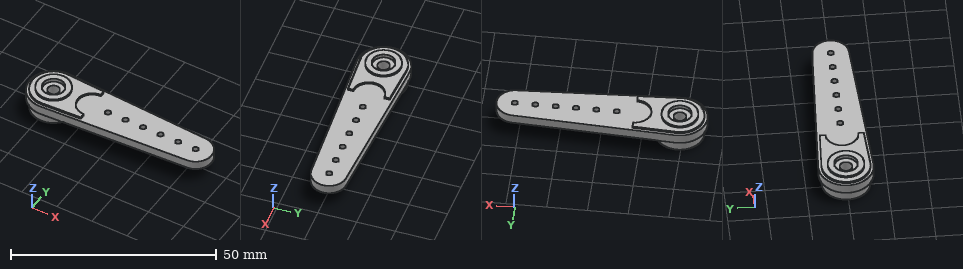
import cadquery as cq
import math

hub_end_radius = 6.75
tip_end_radius = 4.5
tip_distance = 40.5
plate_thickness = 2.5

hub_diameter = 12.0
hub_height = 3.0

pad_inset = 0.75
pad_end_x = 11.0
pad_thickness = 0.5
scallop_radius = 4.0

ring_diameter = 9.0
ring_height = 0.5
counterbore_diameter = 5.8
counterbore_depth = 1.0
screw_hole_diameter = 3.1

link_hole_diameter = 1.5
link_hole_pitch = 5.0
link_hole_count = 6

plate_top = plate_thickness
pad_top = plate_top + pad_thickness
ring_top = pad_top + ring_height


def disc(diameter, bottom, top, x=0.0):
    """Vertical cylinder on the arm centreline between two levels."""
    return cq.Workplane("XY", origin=(x, 0, bottom)).circle(diameter / 2).extrude(top - bottom)


def arm_profile(inset, bottom, top):
    """Tapered outline with round ends, moved inward by the inset."""
    hub_radius = hub_end_radius - inset
    tip_radius = tip_end_radius - inset
    tangent_angle = math.acos((hub_radius - tip_radius) / tip_distance)
    cos_a = math.cos(tangent_angle)
    sin_a = math.sin(tangent_angle)
    hub_tangent = (hub_radius * cos_a, hub_radius * sin_a)
    tip_tangent = (tip_distance + tip_radius * cos_a, tip_radius * sin_a)
    return (
        cq.Workplane("XY", origin=(0, 0, bottom))
        .moveTo(hub_tangent[0], hub_tangent[1])
        .lineTo(tip_tangent[0], tip_tangent[1])
        .threePointArc((tip_distance + tip_radius, 0), (tip_tangent[0], -tip_tangent[1]))
        .lineTo(hub_tangent[0], -hub_tangent[1])
        .threePointArc((-hub_radius, 0), hub_tangent)
        .close()
        .extrude(top - bottom)
    )


def raised_pad():
    """Inset pad around the hub, cut square at its end with a round scallop."""
    keep_region = (
        cq.Workplane("XY", origin=(0, 0, plate_top))
        .rect(2 * pad_end_x, 2 * hub_end_radius)
        .extrude(pad_thickness)
    )
    scallop = disc(2 * scallop_radius, plate_top, pad_top, x=pad_end_x)
    return arm_profile(pad_inset, plate_top, pad_top).intersect(keep_region).cut(scallop)


def link_holes():
    """Row of through holes along the arm."""
    holes = cq.Workplane("XY")
    for index in range(link_hole_count):
        hole_x = tip_distance - index * link_hole_pitch
        holes = holes.add(disc(link_hole_diameter, 0, plate_top, x=hole_x))
    return holes.combine()


result = arm_profile(0, 0, plate_top)
result = result.union(disc(hub_diameter, -hub_height, 0))
result = result.union(raised_pad())
result = result.union(disc(ring_diameter, pad_top, ring_top))

result = result.cut(disc(screw_hole_diameter, -hub_height, ring_top))
result = result.cut(disc(counterbore_diameter, ring_top - counterbore_depth, ring_top))
result = result.cut(link_holes())